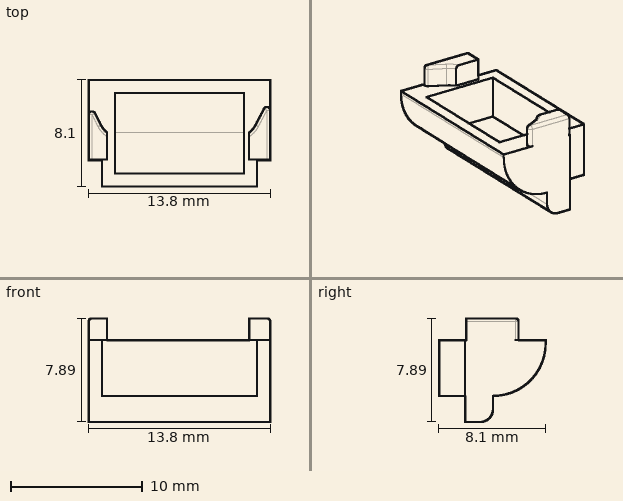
import cadquery as cq
import math

WIDTH = 13.8
DEPTH = 8.1

BODY_HEIGHT = 4.25
BACK_RADIUS = 4.0
WALL = 1.0
PLATE_FRONT = 6.13
BOX_WIDTH = 11.79
POCKET_WIDTH = BOX_WIDTH - 2 * WALL

FOOT_HEIGHT = 1.99
FOOT_ROUND = 1.0

TAB_HEIGHT = 1.65
TAB_FRONT = 6.05
TAB_SHOULDER = 4.0
TAB_ROUND = 0.25
TIP_RADIUS = 0.255
BEND_WIDTH = 0.47
BEND_DEPTH = 0.57
LEFT_TAB_WIDTH = 1.41
LEFT_TAB_BACK = 2.39
RIGHT_TAB_WIDTH = 1.6
RIGHT_TAB_BACK = 2.05


def quarter_round_block(width, back, front, height, radius):
    """Block centred on X = 0, hanging below the rim, with its lower back edge rounded."""
    block = cq.Workplane("XY").box(width, front - back, height, centered=(True, False, False))
    block = block.translate((0, -front, -height))
    return block.edges(">Y and <Z").fillet(radius)


def make_body():
    plate = quarter_round_block(WIDTH, 0, PLATE_FRONT, BODY_HEIGHT, BACK_RADIUS)
    box_depth = DEPTH - BACK_RADIUS
    box = (
        cq.Workplane("XY")
        .box(BOX_WIDTH, box_depth, BODY_HEIGHT, centered=(True, False, False))
        .translate((0, -DEPTH, -BODY_HEIGHT))
    )
    return plate.union(box)


def make_foot():
    rail = quarter_round_block(
        WIDTH, BACK_RADIUS, PLATE_FRONT, BODY_HEIGHT + FOOT_HEIGHT, FOOT_ROUND
    )
    return rail


def make_pocket():
    return quarter_round_block(
        POCKET_WIDTH, WALL, DEPTH - WALL, BODY_HEIGHT - WALL, BACK_RADIUS - WALL
    )


def make_tab(width, back):
    """Tab at the -X end, tapering to a rounded tip at the back."""
    tip_x = TIP_RADIUS
    tip_y = -back - TIP_RADIUS
    bend_x = width - BEND_WIDTH
    bend_y = -TAB_SHOULDER + BEND_DEPTH

    run_x = bend_x - tip_x
    run_y = tip_y - bend_y
    slope = math.atan2(run_x, run_y) - math.asin(TIP_RADIUS / math.hypot(run_x, run_y))
    tangent_x = tip_x + TIP_RADIUS * math.cos(slope)
    tangent_y = tip_y + TIP_RADIUS * math.sin(slope)
    middle = (slope + math.pi) / 2
    arc_middle = (tip_x + TIP_RADIUS * math.cos(middle), tip_y + TIP_RADIUS * math.sin(middle))

    tab = (
        cq.Workplane("XY")
        .moveTo(0, -TAB_FRONT)
        .lineTo(0, tip_y)
        .threePointArc(arc_middle, (tangent_x, tangent_y))
        .lineTo(bend_x, bend_y)
        .tangentArcPoint((width, -TAB_SHOULDER), relative=False)
        .lineTo(width, -TAB_FRONT)
        .close()
        .extrude(TAB_HEIGHT)
    )
    return tab.faces(">Z").edges("<X").fillet(TAB_ROUND).translate((-WIDTH / 2, 0, 0))


left_tab = make_tab(LEFT_TAB_WIDTH, LEFT_TAB_BACK)
right_tab = make_tab(RIGHT_TAB_WIDTH, RIGHT_TAB_BACK).mirror("YZ")

result = make_body().union(make_foot()).cut(make_pocket()).union(left_tab).union(right_tab)